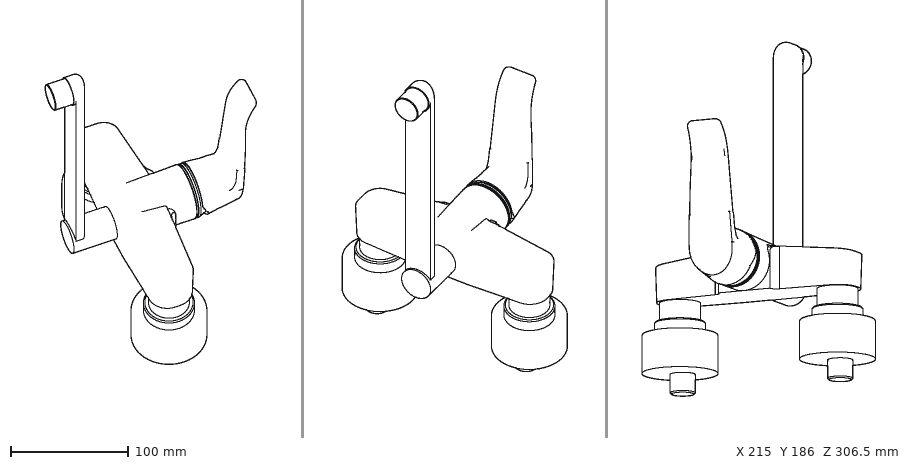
import cadquery as cq
import math


INLET_SPACING = 150.0
NECK_D = 35.0
NUT_D = 43.6
FLANGE_D = 65.0
STUB_D = 21.6
NUT_TOP_Z = -16.4
FLANGE_TOP_Z = -27.2
FLANGE_BOTTOM_Z = -61.0
STUB_BOTTOM_Z = -78.0
STUB_OFFSET_Y = -5.1
FITTING_CHAMFER = 1.2

ARM_END_X = 94.0
ARM_END_HALF_DEPTH = 18.6
ARM_ROOT_X = 27.0
ARM_ROOT_HALF_DEPTH = 22.0
ARM_END_Z = 30.6
ARM_MID_Z = 40.5
ARM_CORNER_R_BOTTOM = 17.0
ARM_CORNER_R_TOP = 12.0
ARM_EDGE_R = 1.5
ARM_BLEND_R = 24.0

EAR_R = 6.0
EAR_TOP_Z = 37.0
EAR_OVERLAP = 3.0

BODY_REAR_R = 24.5
BODY_FRONT_R = 23.4
BODY_FRONT_Y = -ARM_ROOT_HALF_DEPTH
BODY_REAR_Y = 48.0
BODY_EDGE = 0.6

GROOVE_R = 23.3
RING_R = 24.2
RING_Y = 49.5
RING_END_Y = 51.5
COLLAR_START_Y = BODY_REAR_Y - 5.0
COLLAR_END_R = 20.0
COLLAR_END_Y = 62.0

CAP_FRONT_Y = 53.2
CAP_BACK_Y = 96.0
CAP_FRONT_RX = 24.5
CAP_BACK_RX = 20.0
CAP_TOP_Z = 49.4
CAP_FRONT_BOTTOM_Z = -1.4
CAP_BACK_BOTTOM_Z = 5.5
LIP_Y = 59.7

LEVER_BASE_Z = 30.0
LEVER_BASE_HALF_W = 20.6
LEVER_TOP_HALF_W = 15.2
LEVER_TOP_Z = 138.0
BLADE_FOOT = (84.5, 30.0)
BEND_START = (90.4, 99.0)
LEVER_TIP_FRONT = (105.0, 135.6)
LEVER_TIP = (108.48, 133.2)
LEVER_TIP_R = 5.0
LEVER_EDGE_R = 1.2
SHOULDER_R = 5.0
SHOULDER_TOP_Z = 56.0

TUBE_R = 14.6
TUBE_Z = 16.3
TUBE_END_Y = -62.1
BAR_W = 25.0
BAR_BACK_Y = -47.9
BAR_FRONT_Y = -60.3
BAR_TOP_Z = STUB_BOTTOM_Z + 306.48
BAR_BACK_CROWN = 4.0
BAR_FRONT_CROWN = 1.1
BAR_RIM_R = 2.5
NOZZLE_COLLAR_Y = -61.1
NOZZLE_D = 23.2
NOZZLE_END_Y = -78.05
NOZZLE_CHAMFER = 0.6


def box(x_range, y_range, z_range):
    """Selector for the edges whose centres lie in a box."""
    low, high = zip(x_range, y_range, z_range)
    return cq.selectors.BoxSelector(low, high)


def y_cylinder(radius, y_start, y_end, z):
    """Cylinder along Y, centred on X = 0 at height z."""
    plane = cq.Workplane("XZ", origin=(0, y_start, z))
    return plane.circle(radius).extrude(y_start - y_end)


def make_inlet(x):
    """Neck, union nut, wall flange and eccentric threaded stub."""
    def step(diameter, top, bottom, y=0.0):
        return cq.Workplane("XY", origin=(x, y, bottom)).circle(diameter / 2).extrude(top - bottom)

    neck = step(NECK_D, ARM_END_Z / 2, FLANGE_TOP_Z)
    nut = step(NUT_D, NUT_TOP_Z, FLANGE_TOP_Z).faces(">Z").chamfer(FITTING_CHAMFER)
    flange = step(FLANGE_D, FLANGE_TOP_Z, FLANGE_BOTTOM_Z).faces(">Z").fillet(FITTING_CHAMFER)
    stub = step(STUB_D, FLANGE_BOTTOM_Z, STUB_BOTTOM_Z, STUB_OFFSET_Y)
    stub = stub.faces("<Z").chamfer(FITTING_CHAMFER)
    return neck.union(nut).union(flange).union(stub)


def arm_plan(corner_r):
    """Plan outline of both arms: tapered outwards, with rounded end corners."""
    right_half = [
        (ARM_ROOT_X, -ARM_ROOT_HALF_DEPTH),
        (ARM_END_X, -ARM_END_HALF_DEPTH),
        (ARM_END_X, ARM_END_HALF_DEPTH),
        (ARM_ROOT_X, ARM_ROOT_HALF_DEPTH),
    ]
    left_half = [(-x, -y) for x, y in right_half]
    points = right_half + left_half
    outline = cq.Sketch().polygon(points + points[:1])
    return outline.vertices("<X or >X").fillet(corner_r)


def blend_arc():
    """Arc tangent to the right arm's sloping top and to the barrel's front circle, as (x, z) points."""
    slope = math.atan2(ARM_MID_Z - ARM_END_Z, ARM_END_X)
    along = (math.cos(slope), -math.sin(slope))
    normal = (math.sin(slope), math.cos(slope))
    barrel_height = -normal[1] * (ARM_MID_Z - BODY_FRONT_R)
    reach = BODY_FRONT_R + ARM_BLEND_R
    run = math.sqrt(reach**2 - (ARM_BLEND_R - barrel_height) ** 2)
    foot_run = run + along[1] * (BODY_FRONT_R - ARM_MID_Z)
    foot = (along[0] * foot_run, ARM_MID_Z + along[1] * foot_run)
    center = (foot[0] + normal[0] * ARM_BLEND_R, foot[1] + normal[1] * ARM_BLEND_R)
    head_angle = math.atan2(BODY_FRONT_R - center[1], -center[0])
    foot_angle = math.atan2(-normal[1], -normal[0])
    middle_angle = (head_angle + foot_angle) / 2
    return foot, [
        (center[0] + ARM_BLEND_R * math.cos(angle), center[1] + ARM_BLEND_R * math.sin(angle))
        for angle in (middle_angle, head_angle)
    ]


def make_arms():
    """Both arms as one piece, the top rising from each end and sweeping up into the barrel."""
    top = cq.Location(cq.Vector(0, 0, BODY_REAR_R + BODY_FRONT_R))
    plan = cq.Workplane("XY").placeSketch(
        arm_plan(ARM_CORNER_R_BOTTOM), arm_plan(ARM_CORNER_R_TOP).moved(top)
    ).loft()
    foot, (middle, head) = blend_arc()
    half_elevation = (
        cq.Workplane("XZ", origin=(0, ARM_ROOT_HALF_DEPTH, 0))
        .lineTo(ARM_END_X, 0)
        .lineTo(ARM_END_X, ARM_END_Z)
        .lineTo(*foot)
        .threePointArc(middle, head)
        .lineTo(0, head[1])
        .close()
        .extrude(2 * ARM_ROOT_HALF_DEPTH)
    )
    elevation = half_elevation.union(half_elevation.mirror("YZ"))
    arms = plan.intersect(elevation)
    rim = box((-ARM_END_X, ARM_END_X), (-ARM_ROOT_HALF_DEPTH, ARM_ROOT_HALF_DEPTH), (ARM_END_Z - 1, head[1] + 1))
    cross_seams = box((-ARM_ROOT_X, ARM_ROOT_X), (-1, 1), (ARM_END_Z, head[1] + 1))
    return arms.edges(rim - cross_seams).fillet(ARM_EDGE_R)


def make_barrel():
    """Right cone tilted until its underside is level, trimmed square at both ends."""
    length = BODY_REAR_Y - BODY_FRONT_Y
    taper = (BODY_REAR_R - BODY_FRONT_R) / length
    radius_at_origin = BODY_REAR_R - taper * BODY_REAR_Y
    y_start = BODY_FRONT_Y - BODY_EDGE
    y_end = BODY_REAR_Y + BODY_EDGE
    cone = (
        cq.Workplane("XY")
        .polyline([
            (0, y_start), (radius_at_origin + taper * y_start, y_start),
            (radius_at_origin + taper * y_end, y_end), (0, y_end),
        ])
        .close()
        .revolve(360, (0, 0, 0), (0, 1, 0))
        .translate((0, 0, radius_at_origin))
        .rotate((0, 0, 0), (1, 0, 0), math.degrees(math.atan(taper)))
    )
    trim = cq.Workplane("XZ", origin=(0, BODY_REAR_Y, 0)).circle(3 * BODY_REAR_R).extrude(length)
    return cone.intersect(trim).faces(">Y").chamfer(BODY_EDGE).faces("<Y").edges().fillet(ARM_EDGE_R)


def make_ears():
    """Concave corner fins behind the arms, rounded over at the top."""
    y_arm = ARM_ROOT_HALF_DEPTH
    y_tip = y_arm + EAR_R
    diagonal = EAR_R * math.sqrt(0.5)
    outer_x = BODY_REAR_R + EAR_R
    y_root = y_arm - EAR_OVERLAP
    plan = (
        cq.Workplane("XY")
        .moveTo(0, y_root).lineTo(outer_x, y_root).lineTo(outer_x, y_arm)
        .threePointArc((outer_x - diagonal, y_tip - diagonal), (BODY_REAR_R, y_tip))
        .lineTo(0, y_tip).close()
        .extrude(EAR_TOP_Z)
    )
    side = (
        cq.Workplane("YZ")
        .moveTo(0, 0).lineTo(y_tip, 0).lineTo(y_tip, EAR_TOP_Z - EAR_R)
        .threePointArc((y_arm + diagonal, EAR_TOP_Z - EAR_R + diagonal), (y_arm, EAR_TOP_Z))
        .lineTo(0, EAR_TOP_Z).close()
        .extrude(outer_x)
    )
    ear = plan.intersect(side)
    return ear.union(ear.mirror("YZ"))


def make_body():
    """Barrel, arms and the ears between them."""
    return make_barrel().union(make_arms()).union(make_ears())


def make_collar():
    """Grooved ring and cone joining the body to the cap."""
    cone = (
        cq.Workplane("XY")
        .polyline([
            (0, COLLAR_START_Y), (GROOVE_R, COLLAR_START_Y), (GROOVE_R, RING_Y), (RING_R, RING_Y),
            (RING_R, RING_END_Y), (COLLAR_END_R, COLLAR_END_Y), (0, COLLAR_END_Y),
        ])
        .close()
        .revolve(360, (0, 0, 0), (0, 1, 0))
    )
    return cone.translate((0, 0, BODY_REAR_R))


def lever_back(workplane):
    """Continue a side outline down the back of the lever from its tip to the cap bottom."""
    return workplane.spline(
        [(101.5, 122.5), (97.2, 110.0), (95.8, 84.0), (94.3, 55.6), (92.4, 31.0), (85.2, 2.0)],
        includeCurrent=True,
    )


def make_cap():
    """Elliptical barrel trimmed by the back of the lever and by the lip at its underside."""
    front_rz = (CAP_TOP_Z - CAP_FRONT_BOTTOM_Z) / 2
    back_rz = (CAP_TOP_Z - CAP_BACK_BOTTOM_Z) / 2
    barrel = (
        cq.Workplane("XZ", origin=(0, CAP_FRONT_Y, CAP_TOP_Z - front_rz))
        .ellipse(CAP_FRONT_RX, front_rz)
        .workplane(offset=CAP_FRONT_Y - CAP_BACK_Y)
        .center(0, front_rz - back_rz)
        .ellipse(CAP_BACK_RX, back_rz)
        .loft()
    )
    side = lever_back(
        cq.Workplane("YZ", origin=(-CAP_FRONT_RX, 0, 0))
        .moveTo(CAP_FRONT_Y, LEVER_TOP_Z).lineTo(*LEVER_TIP)
    )
    side = (
        side.lineTo(84.0, -3.0).lineTo(LIP_Y, -3.0).lineTo(LIP_Y, 14.7).lineTo(CAP_FRONT_Y, 28.0)
        .close().extrude(2 * CAP_FRONT_RX)
    )
    return barrel.intersect(side)


def make_blade():
    """Thin lever blade, curved back at the tip, with rounded tip corners."""
    rise = cq.Vector(BEND_START[0] - BLADE_FOOT[0], BEND_START[1] - BLADE_FOOT[1]).normalized()
    front = (
        cq.Workplane("XZ", origin=(0, BLADE_FOOT[0], 0))
        .polyline([
            (-LEVER_BASE_HALF_W, LEVER_BASE_Z), (LEVER_BASE_HALF_W, LEVER_BASE_Z),
            (LEVER_TOP_HALF_W, LEVER_TOP_Z), (-LEVER_TOP_HALF_W, LEVER_TOP_Z),
        ])
        .close()
        .extrude(-35)
    )
    side = lever_back(
        cq.Workplane("YZ", origin=(-LEVER_BASE_HALF_W, 0, 0))
        .moveTo(*BLADE_FOOT)
        .lineTo(*BEND_START)
        .spline([(92.6, 115.0), (96.6, 125.0), LEVER_TIP_FRONT], tangents=[rise.toTuple()[:2], (0.6, 0.75)],
                includeCurrent=True)
        .lineTo(*LEVER_TIP)
    )
    side = side.lineTo(BLADE_FOOT[0], 2.0).close().extrude(2 * LEVER_BASE_HALF_W)
    blade = front.intersect(side)
    tip_corners = box(
        (-LEVER_BASE_HALF_W, LEVER_BASE_HALF_W),
        (LEVER_TIP_FRONT[0], LEVER_TIP[0]),
        (LEVER_TIP[1], LEVER_TIP_FRONT[1]),
    )
    return blade.edges(tip_corners).edges("not |X").fillet(LEVER_TIP_R)


def soften_rim(upper_blade):
    """Round the long edges of the blade above the shoulder."""
    width = (-LEVER_BASE_HALF_W, LEVER_BASE_HALF_W)
    depth = (BLADE_FOOT[0], LEVER_TIP[0] + 1)
    above_shoulder = box(width, depth, (SHOULDER_TOP_Z + 0.1, LEVER_TOP_Z))
    bend_seam = box((-1, 1), depth, (BEND_START[1] - 1, BEND_START[1] + 1))
    edges = upper_blade.edges(above_shoulder - bend_seam).vals()
    rim = [edge for edge in edges if edge.Length() > LEVER_TIP_R]
    return upper_blade.newObject(rim).fillet(LEVER_EDGE_R)


def make_lever():
    """Cap and blade with a hollow shoulder where they meet."""
    blade = make_blade()
    lever = make_cap().union(blade)
    crease = box((-LEVER_BASE_HALF_W + 1, LEVER_BASE_HALF_W - 1), (85, 86.3), (36, CAP_TOP_Z))
    lever = lever.edges(crease).fillet(SHOULDER_R)
    upper_space = cq.Workplane("XY", origin=(0, 0, SHOULDER_TOP_Z)).circle(LEVER_TOP_Z).extrude(LEVER_TOP_Z)
    upper_blade = blade.intersect(upper_space)
    return lever.cut(upper_space).union(soften_rim(upper_blade))


def make_spout():
    """Outlet tube, upright bar with a round top, and nozzle."""
    bar_r = BAR_W / 2
    nozzle_z = BAR_TOP_Z - bar_r
    tube = y_cylinder(TUBE_R, 0, TUBE_END_Y, TUBE_Z)
    section = (
        cq.Workplane("XY", origin=(0, 0, TUBE_Z))
        .moveTo(-bar_r, BAR_BACK_Y - BAR_BACK_CROWN)
        .threePointArc((0, BAR_BACK_Y), (bar_r, BAR_BACK_Y - BAR_BACK_CROWN))
        .lineTo(bar_r, BAR_FRONT_Y + BAR_FRONT_CROWN)
        .threePointArc((0, BAR_FRONT_Y), (-bar_r, BAR_FRONT_Y + BAR_FRONT_CROWN))
        .close()
        .extrude(BAR_TOP_Z - TUBE_Z)
    )
    outline = (
        cq.Workplane("XZ")
        .moveTo(-bar_r, 0).lineTo(bar_r, 0).lineTo(bar_r, nozzle_z)
        .threePointArc((0, BAR_TOP_Z), (-bar_r, nozzle_z)).close()
        .extrude(-BAR_FRONT_Y)
    )
    back_rim = box((-1, 1), (BAR_BACK_Y - BAR_BACK_CROWN, BAR_BACK_Y + 1), (nozzle_z, BAR_TOP_Z + 1))
    bar = section.intersect(outline).edges(back_rim).fillet(BAR_RIM_R)
    collar = y_cylinder(bar_r, BAR_FRONT_Y + BAR_FRONT_CROWN, NOZZLE_COLLAR_Y, nozzle_z)
    nozzle = y_cylinder(NOZZLE_D / 2, NOZZLE_COLLAR_Y, NOZZLE_END_Y, nozzle_z)
    nozzle = nozzle.faces("<Y").chamfer(NOZZLE_CHAMFER)
    return tube.union(bar).union(collar).union(nozzle)


result = make_body().union(make_collar()).union(make_lever()).union(make_spout())
for side in (-1, 1):
    result = result.union(make_inlet(side * INLET_SPACING / 2))